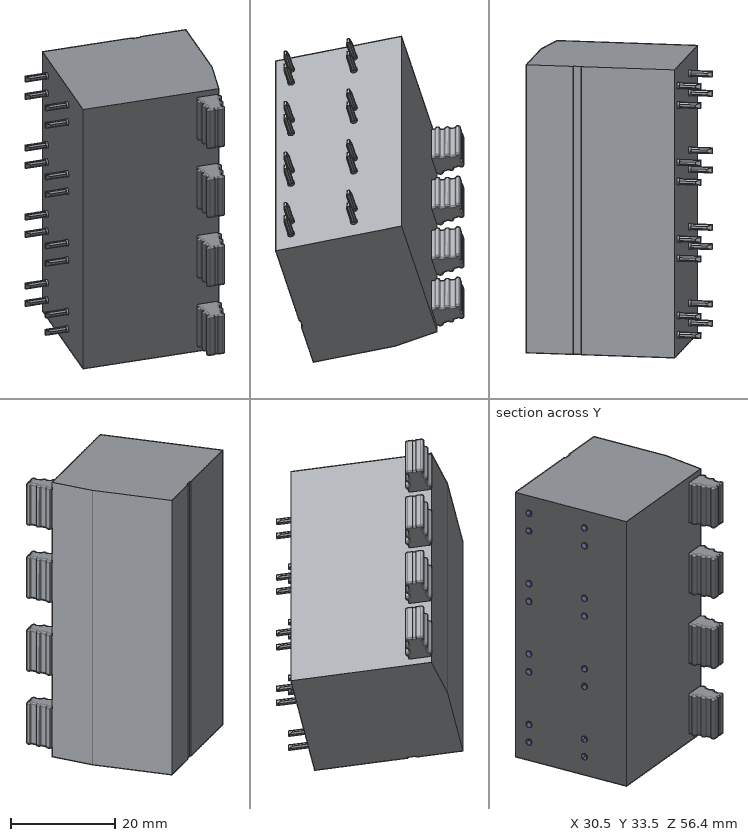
import cadquery as cq
import math

height = 56.4
body_width = 25.0
body_depth = 29.0
slope_start = 16.25
slope_drop = 1.5

groove_start = 9.2
groove_width = 1.45
groove_depth = 0.2
groove_bevel = 0.15

module_count = 4
module_pitch = 15.0

pin_column_x = (3.1, 15.55)
first_pin_drop = 3.65
pin_rows = 2
pin_row_pitch = 3.8
pin_length = 4.5
pin_facets = 8
pin_width = 1.05
pin_tip_thickness = 0.45
pin_tip_length = 0.9
pin_root = 0.55
collar_diameter = 1.3
collar_length = 0.45

lever_reach = 5.5
lever_root = 0.55
lever_height = 8.6
first_lever_drop = 1.2
lever_end_fillet = 0.35

rear_depth_at_root = 1.6
rear_slope = 0.18
front_depth_at_root = 5.75
front_slope = -0.11

rib_height = 0.45
rib_root_fillet = 0.1
rear_ribs = ((0.15, 1.3), (2.4, 3.45), (4.55, lever_reach))
front_ribs = ((lever_reach, 4.55), (3.55, 2.5))

shoulder_depth = 6.0
shoulder_reach = 0.75
shoulder_rib_peak = (1.1, -6.3)
shoulder_rib_end = 1.6

notch_offset = 3.85
notch_half_width = 0.35
notch_sink = 0.15


def make_housing():
    outline = [
        (0, -body_depth),
        (body_width, -body_depth),
        (body_width, -slope_drop),
        (slope_start, 0),
        (0, 0),
    ]
    block = cq.Workplane("XY").polyline(outline).close().extrude(height)
    groove_end = groove_start + groove_width
    groove_outline = [
        (0, -groove_start),
        (groove_depth, -groove_start),
        (groove_depth, -groove_end),
        (0, -groove_end - groove_bevel),
    ]
    groove = cq.Workplane("XY").polyline(groove_outline).close().extrude(height)
    return block.cut(groove)


def make_pin():
    """One pin pointing along -Y, with its root buried behind the housing face at Y = 0."""
    collar = cq.Workplane("XZ").circle(collar_diameter / 2).extrude(collar_length)
    half_facet_angle = 180 / pin_facets
    corner_diameter = pin_width / math.cos(math.radians(half_facet_angle))
    shank = (
        cq.Workplane("XZ", origin=(0, pin_root, 0))
        .transformed(rotate=(0, 0, half_facet_angle))
        .polygon(pin_facets, corner_diameter)
        .extrude(pin_root + pin_length)
    )
    half_width = pin_width / 2
    half_tip = pin_tip_thickness / 2
    taper_start = pin_tip_length - pin_length
    wedge = (
        cq.Workplane("XY")
        .polyline([
            (-half_width, pin_root),
            (-half_width, taper_start),
            (-half_tip, -pin_length),
            (half_tip, -pin_length),
            (half_width, taper_start),
            (half_width, pin_root),
        ])
        .close()
        .extrude(pin_width, both=True)
    )
    return collar.union(shank.intersect(wedge))


def rear_point(reach, rise=0.0):
    return reach, -(rear_depth_at_root + rear_slope * reach) + rise


def front_point(reach, rise=0.0):
    return reach, -(front_depth_at_root + front_slope * reach) - rise


def add_rib(outline, span, point_on_face):
    """Run along a lever face to the start of a span, then over a rounded rib to its end."""
    start, end = span
    peak = point_on_face((start + end) / 2, rib_height)
    return outline.lineTo(*point_on_face(start)).threePointArc(peak, point_on_face(end))


def make_lever():
    """One lever, with X = 0 on the housing's +X face and Y = 0 on its rear face."""
    outline = cq.Workplane("XY").moveTo(*rear_point(-lever_root))
    for span in rear_ribs:
        outline = add_rib(outline, span, rear_point)
    outline = (
        outline
        .lineTo(lever_reach, notch_half_width - notch_offset)
        .threePointArc(
            (lever_reach - notch_sink, -notch_offset),
            (lever_reach, -notch_half_width - notch_offset),
        )
    )
    for span in front_ribs:
        outline = add_rib(outline, span, front_point)
    lever = (
        outline
        .lineTo(*front_point(shoulder_rib_end))
        .threePointArc(shoulder_rib_peak, (shoulder_reach, -shoulder_depth))
        .lineTo(-lever_root, -shoulder_depth)
        .close()
        .extrude(lever_height)
    )
    exposed_ribs = cq.selectors.BoxSelector(
        (0, -body_depth, 0),
        (lever_reach - notch_sink, 0, lever_height),
    )
    lever = lever.edges("|Z").edges(exposed_ribs).fillet(rib_root_fillet)
    return lever.faces("|Z").edges().fillet(lever_end_fillet)


result = make_housing()
pin = make_pin()
lever = make_lever()
for module in range(module_count):
    module_top = height - module * module_pitch
    lever_bottom = module_top - first_lever_drop - lever_height
    result = result.union(lever.translate((body_width, 0, lever_bottom)))
    for x in pin_column_x:
        for row in range(pin_rows):
            z = module_top - first_pin_drop - row * pin_row_pitch
            result = result.union(pin.translate((x, -body_depth, z)))